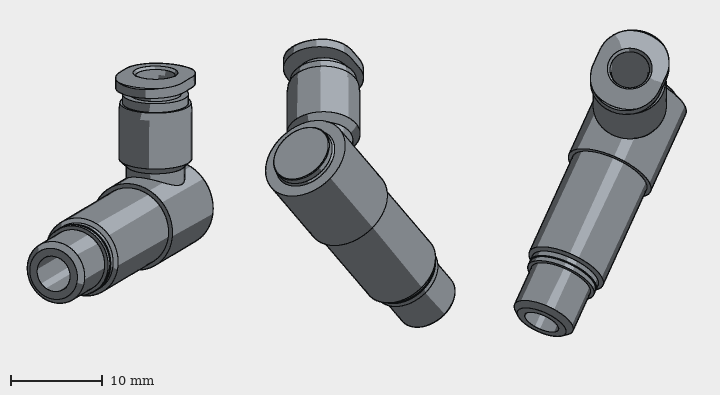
import cadquery as cq


tip_chamfer_length = 0.58
collar_start = 5.45
collar_groove_y = 6.03
collar_groove_width = 0.1
shoulder_start = 6.7
shoulder_chamfer_length = 0.25
head_start = 19.3
head_end = 29.3
cap_lip_length = 0.25
cap_end = 30.3
cap_edge_chamfer = 0.1

tip_end_diameter = 5.8
tip_diameter = 7.0
collar_diameter = 7.85
collar_groove_depth = 0.1
sleeve_diameter = 8.82
head_diameter = 9.8
cap_lip_diameter = 7.2
cap_diameter = 6.85
body_bore_diameter = 4.0
body_bore_depth = 18.18

socket_y = 25.0
barrel_chamfer_start = 5.45
barrel_start = 6.25
barrel_end = 11.73
barrel_taper_end = 12.57
collet_ring_end = 13.57
flange_start = 14.55
flange_rim_edge = 15.5
flange_bevel_top = 15.63
flange_top = 16.0

stem_diameter = 6.4
barrel_diameter = 8.0
barrel_taper_diameter = 7.75
collet_ring_diameter = 7.2
collet_neck_diameter = 5.6

flange_width = 7.85
flange_length = head_diameter
flange_bevel_diameter = 9.42
mouth_diameter = 4.88
mouth_throat_diameter = 4.3
mouth_depth = 0.3
throat_depth = 0.9
tube_bore_diameter = 4.0
tube_bore_floor = 6.25


def revolve_about_y(profile):
    """Turn (diameter, y) corners about the Y axis, closed on the axis."""
    corners = [(0, profile[0][1])]
    corners += [(diameter / 2, y) for diameter, y in profile]
    corners += [(0, profile[-1][1])]
    return cq.Workplane("XY").polyline(corners).close().revolve(360, (0, 0, 0), (0, 1, 0))


def revolve_about_socket(profile):
    """Turn (diameter, z) corners about the vertical socket axis."""
    corners = [(0, profile[0][1])]
    corners += [(diameter / 2, z) for diameter, z in profile]
    corners += [(0, profile[-1][1])]
    turned = cq.Workplane("XZ").polyline(corners).close().revolve(360, (0, 0, 0), (0, 1, 0))
    return turned.translate((0, socket_y, 0))


def make_body():
    groove_diameter = collar_diameter - 2 * collar_groove_depth
    groove_end = collar_groove_y + collar_groove_width
    return revolve_about_y([
        (tip_end_diameter, 0),
        (tip_diameter, tip_chamfer_length),
        (tip_diameter, collar_start),
        (collar_diameter, collar_start),
        (collar_diameter, collar_groove_y),
        (groove_diameter, collar_groove_y),
        (groove_diameter, groove_end),
        (collar_diameter, groove_end),
        (collar_diameter, shoulder_start),
        (sleeve_diameter, shoulder_start + shoulder_chamfer_length),
        (sleeve_diameter, head_start),
        (head_diameter, head_start),
        (head_diameter, head_end),
        (cap_lip_diameter, head_end),
        (cap_diameter, head_end + cap_lip_length),
        (cap_diameter, cap_end - cap_edge_chamfer),
        (cap_diameter - 2 * cap_edge_chamfer, cap_end),
    ])


def make_socket():
    return revolve_about_socket([
        (stem_diameter, 0),
        (stem_diameter, barrel_chamfer_start),
        (barrel_diameter, barrel_start),
        (barrel_diameter, barrel_end),
        (barrel_taper_diameter, barrel_taper_end),
        (collet_ring_diameter, barrel_taper_end),
        (collet_ring_diameter, collet_ring_end),
        (collet_neck_diameter, collet_ring_end),
        (collet_neck_diameter, flange_start),
    ])


def make_flange():
    obround = (
        cq.Workplane("XY", origin=(0, socket_y, flange_start))
        .slot2D(flange_length, flange_width, 90)
        .extrude(flange_top - flange_start)
    )
    conical_top = revolve_about_socket([
        (flange_length, flange_start),
        (flange_length, flange_rim_edge),
        (flange_bevel_diameter, flange_bevel_top),
        (mouth_diameter, flange_top),
    ])
    return obround.intersect(conical_top)


def make_tube_bore():
    return revolve_about_socket([
        (tube_bore_diameter, tube_bore_floor),
        (tube_bore_diameter, flange_top - throat_depth),
        (mouth_throat_diameter, flange_top - mouth_depth),
        (mouth_diameter, flange_top),
    ])


def make_body_bore():
    return revolve_about_y([
        (body_bore_diameter, 0),
        (body_bore_diameter, body_bore_depth),
    ])


solid_fitting = make_body().union(make_socket()).union(make_flange())
result = solid_fitting.cut(make_tube_bore()).cut(make_body_bore())